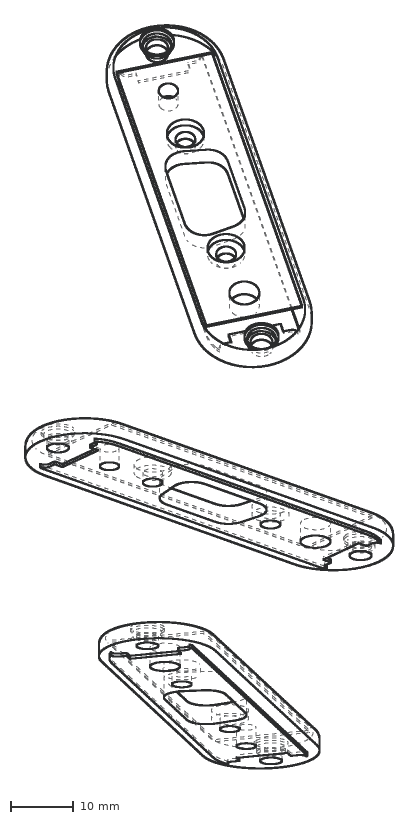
import cadquery as cq
import math

length = 72.05
width = 19.15
total_height = 3.5
pad_height = 0.5
rim_fillet = 1.1

recess_length = 55.5
recess_width = 15.9
recess_depth = 0.35

pad_inset = 1.8
pad_x = 0.3
pad_flat_y = 6.9
pad_end_x = 29.4
pad_end_cut_width = 13.25
pad_end_cut_radius = 1.1
pad_notch_floor_x = 27.7
pad_notch_width = 8.65

screw_x = 32.2
screw_diameter = 3.5
screw_head_diameter = 5.5
screw_head_depth = 0.4
screw_taper_depth = 0.3
screw_seat_diameter = 4.6
screw_seat_depth = 1.5

connector_y = -0.6
opening_height = 10.1
opening_mid_width = 17.6
opening_side_angle = 10.0
opening_corner_radius = 3.25
connector_screw_x = 12.5
connector_screw_diameter = 3.2
connector_head_diameter = 6.0
connector_head_depth = 1.45

small_hole_x = -22.0
small_hole_y = -0.9
small_hole_diameter = 3.1
large_hole_x = 22.4
large_hole_y = -0.2
large_hole_diameter = 4.8

top_z = total_height
recess_floor_z = top_z - recess_depth


def cylinder_down(x, y, diameter, from_z, depth):
    """Cylinder that hangs down from from_z, used as a hole cutter."""
    return (
        cq.Workplane("XY", origin=(x, y, from_z))
        .circle(diameter / 2)
        .extrude(-depth)
    )


def through_hole(x, y, diameter):
    return cylinder_down(x, y, diameter, top_z, total_height)


def counterbored_hole(x, y, diameter, head_diameter, face_z, head_depth):
    head = cylinder_down(x, y, head_diameter, face_z, head_depth)
    return through_hole(x, y, diameter).union(head)


def screw_hole(x):
    """Revolved screw hole: straight mouth, short taper, then a flat seat."""
    taper_top_z = top_z - screw_head_depth
    taper_bottom_z = taper_top_z - screw_taper_depth
    seat_z = top_z - screw_seat_depth
    profile = [
        (0, 0),
        (screw_diameter / 2, 0),
        (screw_diameter / 2, seat_z),
        (screw_seat_diameter / 2, seat_z),
        (screw_seat_diameter / 2, taper_bottom_z),
        (screw_head_diameter / 2, taper_top_z),
        (screw_head_diameter / 2, top_z),
        (0, top_z),
    ]
    return (
        cq.Workplane("XZ", origin=(x, 0, 0))
        .polyline(profile)
        .close()
        .revolve(360, (0, 0, 0), (0, 1, 0))
    )


def make_plate():
    """Stadium plate with a rounded upper rim."""
    return (
        cq.Workplane("XY", origin=(0, 0, pad_height))
        .slot2D(length, width)
        .extrude(total_height - pad_height)
        .faces(">Z")
        .edges()
        .fillet(rim_fillet)
    )


def pad_end_cutter(side, inner_x, cut_width):
    """Block that clears the pad from inner_x outwards at one end."""
    depth = length / 2 - inner_x
    return (
        cq.Workplane("XY", origin=(side * (inner_x + depth / 2), 0, 0))
        .rect(depth, cut_width)
        .extrude(pad_height)
    )


def make_pad():
    pad_length = length - 2 * pad_inset
    pad_width = width - 2 * pad_inset
    flat_strip_width = pad_width / 2 - pad_flat_y
    flat_strip = (
        cq.Workplane("XY", origin=(0, pad_flat_y + flat_strip_width / 2, 0))
        .rect(pad_length, flat_strip_width)
        .extrude(pad_height)
    )
    pad = cq.Workplane("XY").slot2D(pad_length, pad_width).extrude(pad_height).cut(flat_strip)
    for side in (-1, 1):
        end_cut = pad_end_cutter(side, pad_end_x, pad_end_cut_width)
        pad = pad.cut(end_cut.edges("|Z").fillet(pad_end_cut_radius))
        pad = pad.cut(pad_end_cutter(side, pad_notch_floor_x, pad_notch_width))
    return pad.translate((pad_x, 0, 0))


def make_recess():
    return (
        cq.Workplane("XY", origin=(0, 0, recess_floor_z))
        .rect(recess_length, recess_width)
        .extrude(recess_depth)
    )


def make_connector_opening():
    """D-shaped opening, wider towards -Y, with rounded corners."""
    half_height = opening_height / 2
    side_shift = half_height * math.tan(math.radians(opening_side_angle))
    wide_half = opening_mid_width / 2 + side_shift
    narrow_half = opening_mid_width / 2 - side_shift
    corners = [
        (-wide_half, -half_height),
        (wide_half, -half_height),
        (narrow_half, half_height),
        (-narrow_half, half_height),
    ]
    return (
        cq.Workplane("XY", origin=(0, connector_y, 0))
        .polyline(corners)
        .close()
        .extrude(total_height)
        .edges("|Z")
        .fillet(opening_corner_radius)
    )


result = make_plate().union(make_pad()).cut(make_recess()).cut(make_connector_opening())

for side in (-1, 1):
    result = result.cut(screw_hole(side * screw_x))
    result = result.cut(
        counterbored_hole(
            side * connector_screw_x,
            connector_y,
            connector_screw_diameter,
            connector_head_diameter,
            recess_floor_z,
            connector_head_depth,
        )
    )

result = result.cut(through_hole(small_hole_x, small_hole_y, small_hole_diameter))
result = result.cut(through_hole(large_hole_x, large_hole_y, large_hole_diameter))